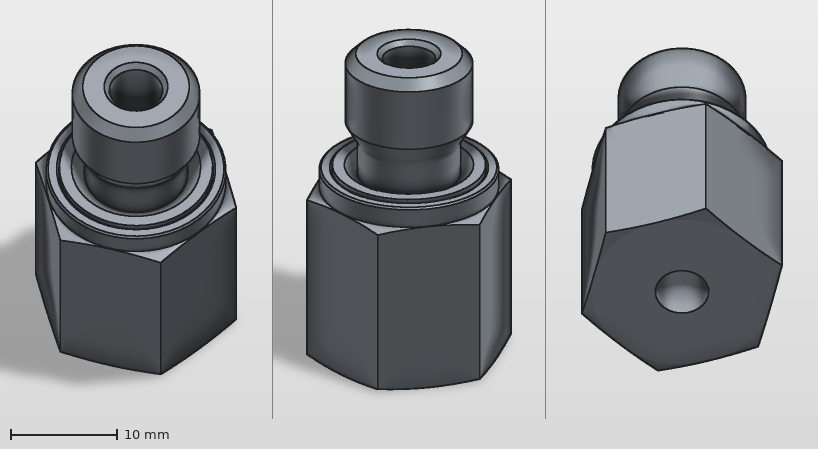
import cadquery as cq
import math

total_height = 31.0
collar_top = 19.0
hex_top = 17.0

across_flats = 17.02
across_corners = across_flats / math.cos(math.radians(30))
hex_chamfer_angle = 15.0
hex_chamfer_drop = (across_corners - across_flats) / 2 * math.tan(math.radians(hex_chamfer_angle))

collar_diameter = 16.9
collar_chamfer = 0.2

stud_diameter = 12.0
stud_chamfer = 1.0
stud_bottom = 23.95
neck_diameter = 9.7
neck_taper_angle = 30.0
neck_fillet = 1.15

bore_diameter = 5.0
bore_chamfer = 0.5

seal_diameter = 14.4
seal_hole_diameter = 9.8
seal_mouth_diameter = 12.15
seal_top = collar_top + 0.28
recess_diameter = 14.5
recess_chamfer = 0.22
seal_cone_angle = 35.0
seal_cone_width = (seal_mouth_diameter - seal_hole_diameter) / 2
seal_cone_height = seal_cone_width * math.tan(math.radians(seal_cone_angle))
seal_bottom = seal_top - seal_cone_height


def make_hexagon():
    """Hexagonal prism with its corners chamfered at both ends."""
    prism = (
        cq.Workplane("XY")
        .polygon(6, across_corners)
        .extrude(hex_top)
        .rotate((0, 0, 0), (0, 0, 1), 30)
    )
    flat_radius = across_flats / 2
    corner_radius = across_corners / 2
    chamfer_envelope = (
        cq.Workplane("XZ")
        .moveTo(0, 0)
        .lineTo(flat_radius, 0)
        .lineTo(corner_radius, hex_chamfer_drop)
        .lineTo(corner_radius, hex_top - hex_chamfer_drop)
        .lineTo(flat_radius, hex_top)
        .lineTo(0, hex_top)
        .close()
        .revolve(360, (0, 0, 0), (0, 1, 0))
    )
    return prism.intersect(chamfer_envelope)


def make_collar():
    """Round collar with a small chamfer on its top edge."""
    return (
        cq.Workplane("XY", origin=(0, 0, hex_top))
        .circle(collar_diameter / 2)
        .extrude(collar_top - hex_top)
        .faces(">Z")
        .chamfer(collar_chamfer)
    )


def make_stud():
    """Stud with a chamfered tip and a taper that blends into the neck."""
    stud_radius = stud_diameter / 2
    neck_radius = neck_diameter / 2
    taper = math.radians(neck_taper_angle)
    taper_end = stud_bottom - (stud_radius - neck_radius) / math.tan(taper)

    tangent_length = neck_fillet * math.tan(taper / 2)
    fillet_start = (neck_radius, taper_end - tangent_length)
    fillet_end = (
        neck_radius + tangent_length * math.sin(taper),
        taper_end + tangent_length * math.cos(taper),
    )
    fillet_middle = (
        neck_radius + neck_fillet * (1 - math.cos(taper / 2)),
        fillet_start[1] + neck_fillet * math.sin(taper / 2),
    )
    return (
        cq.Workplane("XZ")
        .moveTo(0, hex_top)
        .lineTo(neck_radius, hex_top)
        .lineTo(*fillet_start)
        .threePointArc(fillet_middle, fillet_end)
        .lineTo(stud_radius, stud_bottom)
        .lineTo(stud_radius, total_height - stud_chamfer)
        .lineTo(stud_radius - stud_chamfer, total_height)
        .lineTo(0, total_height)
        .close()
        .revolve(360, (0, 0, 0), (0, 1, 0))
    )


def make_bore():
    """Cutter for the through bore, widened by a chamfer at the stud tip."""
    bore_radius = bore_diameter / 2
    return (
        cq.Workplane("XZ")
        .moveTo(0, 0)
        .lineTo(bore_radius, 0)
        .lineTo(bore_radius, total_height - bore_chamfer)
        .lineTo(bore_radius + bore_chamfer, total_height)
        .lineTo(0, total_height)
        .close()
        .revolve(360, (0, 0, 0), (0, 1, 0))
    )


def make_seal_recess():
    """Cutter for the ring-shaped recess around the neck, with a chamfered rim."""
    neck_radius = neck_diameter / 2
    recess_radius = recess_diameter / 2
    return (
        cq.Workplane("XZ")
        .moveTo(neck_radius, seal_bottom)
        .lineTo(recess_radius, seal_bottom)
        .lineTo(recess_radius, collar_top - recess_chamfer)
        .lineTo(recess_radius + recess_chamfer, collar_top)
        .lineTo(neck_radius, collar_top)
        .close()
        .revolve(360, (0, 0, 0), (0, 1, 0))
    )


def make_fitting():
    """Hexagonal fitting with collar, seal recess, stud and bore."""
    collar = make_collar().cut(make_seal_recess())
    hexagon = make_hexagon().union(collar)
    return hexagon.union(make_stud()).cut(make_bore())


def make_seal():
    """Seal ring with a conical mouth that narrows toward the neck."""
    return (
        cq.Workplane("XZ")
        .moveTo(seal_hole_diameter / 2, seal_bottom)
        .lineTo(seal_diameter / 2, seal_bottom)
        .lineTo(seal_diameter / 2, seal_top)
        .lineTo(seal_mouth_diameter / 2, seal_top)
        .close()
        .revolve(360, (0, 0, 0), (0, 1, 0))
    )


fitting = make_fitting()
seal = make_seal()
result = cq.Compound.makeCompound([fitting.val(), seal.val()])